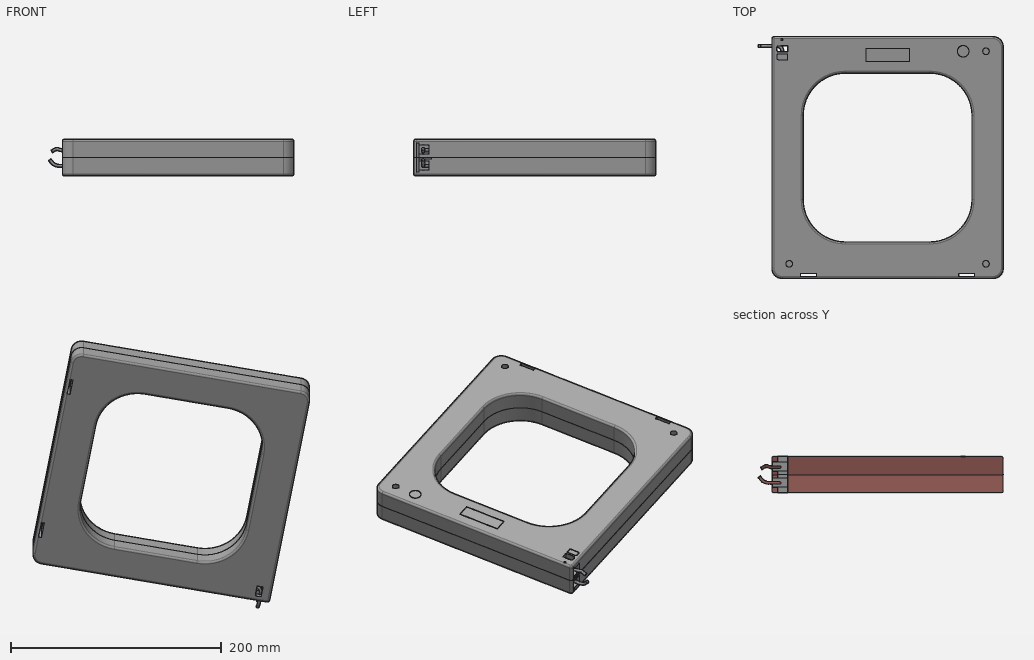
import cadquery as cq

LENGTH_X = 220.0
LENGTH_Y = 230.0
HEIGHT = 35.0
SEAM_Z = HEIGHT / 2
LEFT = -LENGTH_X / 2
FRONT = -LENGTH_Y / 2
BACK = LENGTH_Y / 2
CORNER_RADIUS = 10.0
TERMINAL_CORNER_RADIUS = 2.5
RIM_RADIUS = 2.0

OPENING_SIDE = 160.0
OPENING_RADIUS = 40.0

HOLE_DIAMETER = 6.3
HOLE_DEPTH = 11.6
HOLE_X = 93.5
HOLE_Y = 101.0
DISC_DIAMETER = 11.0
DISC_X = 71.8
LABEL_WIDTH = 41.2
LABEL_HEIGHT = 12.3
LABEL_Y = 97.5
MARK_DEPTH = 0.5

SLOT_WIDTH = 15.0
SLOT_THICKNESS = 2.8
SLOT_X = 75.0
SLOT_WALL = 2.0

WINDOW_LEFT = 5.0
WINDOW_RIGHT = 15.1
WINDOW_RADIUS = 1.5
SHAFT_START = 8.9
TERMINAL_MARK_START = 16.5
WINDOW_SPAN_Y = 5.5
SIDE_WINDOW_START = 5.0
SIDE_WINDOW_END = 14.7
SIDE_WINDOW_HEIGHT = 8.6
SIDE_WINDOW_OFFSET_Z = 7.7
BEVEL_START = 2.8
BEVEL_DEPTH = 1.0
BEVEL_LENGTH_Z = 27.7
SEAM_NOTCH_HEIGHT = 1.2
SEAM_NOTCH_END = 17.0
SEAM_NOTCH_DEPTH = 0.7
PINHOLE_DIAMETER = 1.9
PINHOLE_INSET_X = 9.5
PINHOLE_INSET_Y = 3.0
PINHOLE_DEPTH = 2.3

WIRE_DIAMETER = 3.0
WIRE_INSET_Y = 9.0
WIRE_BEND_RADIUS = 4.7
WIRE_INNER_X = 10.0
UPPER_WIRE_Z = SEAM_Z + 7.0
LOWER_WIRE_Z = SEAM_Z - 8.0
UPPER_WIRE_TAIL = [(5.0, 1.2), (10.0, -1.2)]
LOWER_WIRE_TAIL = [(4.7, 0.2), (8.2, 1.6), (11.9, 5.8)]


def box_between(x_range, y_range, z_range):
    """Axis-aligned box between pairs of limits."""
    sizes = [limits[1] - limits[0] for limits in (x_range, y_range, z_range)]
    corner = (x_range[0], y_range[0], z_range[0])
    return cq.Workplane("XY").box(*sizes, centered=False).translate(corner)


def ring():
    """Full-height frame with rounded corners, rounded rims and the central opening."""
    frame = cq.Workplane("XY").box(LENGTH_X, LENGTH_Y, HEIGHT, centered=(True, True, False))
    frame = frame.edges("|Z and (>X or <Y)").fillet(CORNER_RADIUS)
    frame = frame.edges(cq.selectors.NearestToPointSelector((LEFT, BACK, SEAM_Z)))
    frame = frame.fillet(TERMINAL_CORNER_RADIUS)
    opening = cq.Workplane("XY").rect(OPENING_SIDE, OPENING_SIDE).extrude(HEIGHT)
    opening = opening.edges("|Z").fillet(OPENING_RADIUS)
    return frame.cut(opening).faces("<Z or >Z").edges().fillet(RIM_RADIUS)


def corner_holes():
    places = [(-HOLE_X, -HOLE_Y), (HOLE_X, -HOLE_Y), (HOLE_X, HOLE_Y)]
    top = cq.Workplane("XY").workplane(offset=HEIGHT)
    return top.pushPoints(places).circle(HOLE_DIAMETER / 2).extrude(-HOLE_DEPTH)


def top_marks():
    """Shallow marking disc and label recess."""
    top = cq.Workplane("XY").workplane(offset=HEIGHT)
    disc = top.center(DISC_X, HOLE_Y).circle(DISC_DIAMETER / 2).extrude(-MARK_DEPTH)
    label = top.center(0, LABEL_Y).rect(LABEL_WIDTH, LABEL_HEIGHT).extrude(-MARK_DEPTH)
    return disc.add(label)


def front_slots():
    slot_y = FRONT + SLOT_WALL + SLOT_THICKNESS / 2
    plan = cq.Workplane("XY").pushPoints([(-SLOT_X, slot_y), (SLOT_X, slot_y)])
    return plan.rect(SLOT_WIDTH, SLOT_THICKNESS).extrude(HEIGHT)


def top_window(start, floor_z):
    """Window cut down from the top face, with its two left corners rounded."""
    x_range = (LEFT + WINDOW_LEFT, LEFT + WINDOW_RIGHT)
    y_range = (BACK - start - WINDOW_SPAN_Y, BACK - start)
    window = box_between(x_range, y_range, (floor_z, HEIGHT))
    return window.edges("|Z and <X").fillet(WINDOW_RADIUS)


def side_window(centre_z):
    """Window in the left face that meets the wire shaft, with its two front corners rounded."""
    y_range = (BACK - SIDE_WINDOW_END, BACK - SIDE_WINDOW_START)
    z_range = (centre_z - SIDE_WINDOW_HEIGHT / 2, centre_z + SIDE_WINDOW_HEIGHT / 2)
    window = box_between((LEFT, LEFT + WINDOW_RIGHT), y_range, z_range)
    return window.edges("|X and <Y").fillet(WINDOW_RADIUS)


def terminal_bevel():
    """Upright groove with one sloping side, beside the side windows."""
    profile = [
        (LEFT, BACK - BEVEL_START),
        (LEFT + BEVEL_DEPTH, BACK - SIDE_WINDOW_START),
        (LEFT, BACK - SIDE_WINDOW_START),
    ]
    plan = cq.Workplane("XY").workplane(offset=SEAM_Z - BEVEL_LENGTH_Z / 2)
    return plan.polyline(profile).close().extrude(BEVEL_LENGTH_Z)


def seam_notch():
    """Low notch in the left face just below the seam."""
    y_range = (BACK - SEAM_NOTCH_END, BACK - SIDE_WINDOW_START)
    z_range = (SEAM_Z - SEAM_NOTCH_HEIGHT, SEAM_Z)
    return box_between((LEFT, LEFT + SEAM_NOTCH_DEPTH), y_range, z_range)


def pinhole():
    """Small blind hole in the top face next to the back rim."""
    top = cq.Workplane("XY").workplane(offset=HEIGHT)
    top = top.center(LEFT + PINHOLE_INSET_X, BACK - PINHOLE_INSET_Y)
    return top.circle(PINHOLE_DIAMETER / 2).extrude(-PINHOLE_DEPTH)


def housing():
    """The whole housing, before it is split at the seam."""
    cutters = [
        corner_holes(),
        top_marks(),
        front_slots(),
        top_window(SHAFT_START, 0),
        top_window(TERMINAL_MARK_START, HEIGHT - MARK_DEPTH),
        side_window(SEAM_Z + SIDE_WINDOW_OFFSET_Z),
        side_window(SEAM_Z - SIDE_WINDOW_OFFSET_Z),
        terminal_bevel(),
        seam_notch(),
        pinhole(),
    ]
    body = ring()
    for cutter in cutters:
        for solid in cutter.vals():
            body = body.cut(cq.Workplane(solid))
    return body


def housing_half(whole, low_z, high_z):
    """The part of the whole housing between two heights."""
    layer = box_between((LEFT, -LEFT), (FRONT, BACK), (low_z, high_z))
    return whole.intersect(layer).solids()


def wire(wire_z, tail_points):
    """Round wire from the side window's front wall, out through the left face, to a curved tail."""
    wire_y = BACK - WIRE_INSET_Y
    inner_x = LEFT + WIRE_INNER_X
    bend_end_x = inner_x - WIRE_BEND_RADIUS
    start = cq.Vector(inner_x, BACK - SIDE_WINDOW_END, wire_z)
    bend_start = cq.Vector(inner_x, wire_y - WIRE_BEND_RADIUS, wire_z)
    bend_end = cq.Vector(bend_end_x, wire_y, wire_z)
    exit_point = cq.Vector(LEFT, wire_y, wire_z)
    tail = [cq.Vector(LEFT - reach, wire_y, wire_z + rise) for reach, rise in tail_points]
    tip_direction = tail[-1] - tail[-2]
    path = cq.Wire.assembleEdges([
        cq.Edge.makeLine(start, bend_start),
        cq.Edge.makeTangentArc(bend_start, cq.Vector(0, 1, 0), bend_end),
        cq.Edge.makeLine(bend_end, exit_point),
        cq.Edge.makeSpline([exit_point, *tail], tangents=[cq.Vector(-1, 0, 0), tip_direction]),
    ])
    section = cq.Workplane(cq.Plane(start, xDir=(1, 0, 0), normal=(0, 1, 0)))
    return section.circle(WIRE_DIAMETER / 2).sweep(path)


whole_housing = housing()
lower_housing = housing_half(whole_housing, 0, SEAM_Z)
upper_housing = housing_half(whole_housing, SEAM_Z, HEIGHT)
upper_wire = wire(UPPER_WIRE_Z, UPPER_WIRE_TAIL)
lower_wire = wire(LOWER_WIRE_Z, LOWER_WIRE_TAIL)

result = cq.Compound.makeCompound([
    lower_housing.val(),
    upper_housing.val(),
    upper_wire.val(),
    lower_wire.val(),
])